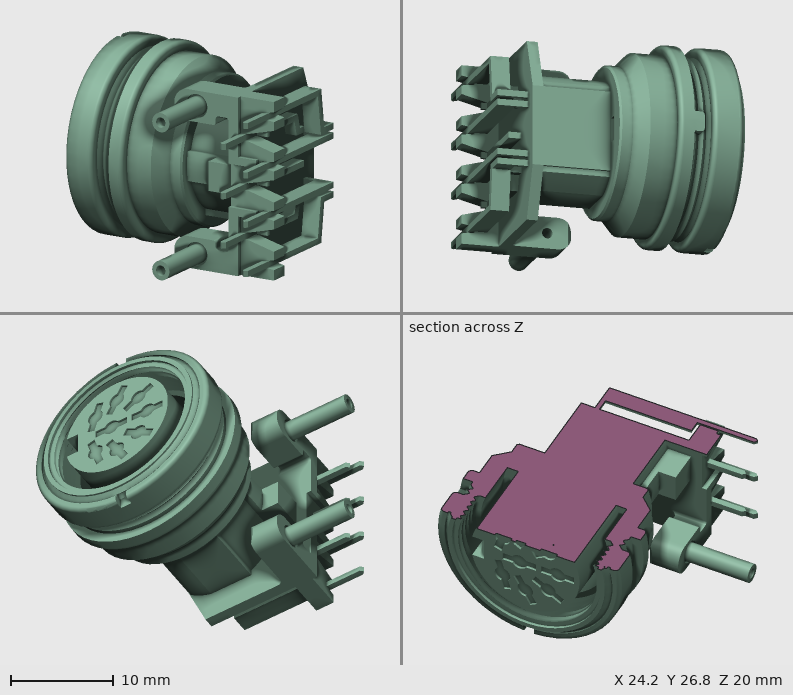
import cadquery as cq
import math


shell_front = 0.2
shell_rear = 12.55
thread_crest_r = 9.0
thread_root_r = 8.57
thread_pitch = 0.75
thread_start = 0.4
thread_turns = 6
flange_r = 10.0
flange_front = 5.7
flange_rear = 7.2
body_end = 9.9
cone_end = 11.25
collar_r = 15.2 / 2
collar_edge = 0.2
rim_fillet = 0.45

mouth_r = 16.2 / 2
mouth_depth = 0.3
bore_groove_r = 7.95
bore_crest_r = 15.1 / 2
bore_thread_turns = 5
bore_r = 13.9 / 2
cavity_floor = 9.0

tab_front = 4.7
tab_width = 2.0
tab_fillet = 0.3

nut_r = 10.0
nut_front = 0.7
nut_rear = 3.75
nut_mouth_r = 18.3 / 2
nut_mouth_depth = 0.2
nut_slot_width = 1.2
nut_slot_end = 1.7

insert_r = 11.8 / 2
keyway_width = 2.44
keyway_floor = 4.47
keyway_through_r = 5.45
contact_circle_r = 3.5
socket_length = 3.6
socket_width = 0.85
socket_hole_r = 0.85
socket_depth = 0.25
centre_socket_y = 0.65
upper_sockets = [(45, 30), (90, 60), (135, 73)]

barrel_r = 6.0
barrel_top = 3.9
pad_top = 4.22
pad_half_width = 4.0
side_rib_z = 5.8
side_rib_y_min = -3.1
side_rib_y_max = math.sqrt(barrel_r**2 - side_rib_z**2)
key_half_width = 1.5
key_r = 6.6
key_box_front = 16.05
key_box_bottom = -8.3

plate_front = 19.35
plate_rear = 20.45
half_width = 9.05
foot_bottom = -10.0
plate_shoulder_y = 2.2
plate_tip_z = 4.0
arm_front = 13.2
arm_top = -6.74
arm_inner = 5.85
arm_corner_r = 1.5
arm_nose_chamfer = 0.45
relief_front = 17.9
relief_outer_z = 6.8
relief_fillet = 0.3
arm_root_fillet = 0.5

post_x = 15.75
post_z = 7.5
post_r = 1.95 / 2
post_bore_r = 1.05 / 2
post_recess_r = 2.4 / 2
post_recess_depth = 0.3
post_tip = -16.75

comb_rear = 24.2
comb_top = -7.5
comb_bottom = -9.5
strap_inner = 2.2
strap_outer = 3.0
strap_rear = 22.5

pin_pitch = 2.5
rear_pin_z = [-3 * pin_pitch, -pin_pitch, pin_pitch, 3 * pin_pitch]
front_pin_z = [-2 * pin_pitch, 0, 2 * pin_pitch]
pin_width = 0.62
pin_thick = 0.6
pin_tip = -13.6
pin_point = 0.3
pin_slot_width = 0.75
pin_slot_mouth = 1.0
pin_slot_floor = 22.9
pin_slot_flare = 23.55
vee_start = 21.3
vee_mouth = 2.25

strip_split = 21.72
strip_rear = 23.59
strip_top = 2.73
strip_arm_bottom = 2.2
strip_inner_z = 3.47
rear_upper_bend = 0.97
rear_lower_bend = 0.4
front_upper_bend = -0.5
front_lower_bend = -0.9
front_strip_top = 0.29
front_foot_rear = 22.3
strip_foot = -7.15


def box(x0, x1, y0, y1, z0, z1):
    return cq.Workplane("XY").box(x1 - x0, y1 - y0, z1 - z0, centered=False).translate((x0, y0, z0))


def rod(radius, x0, x1):
    """Cylinder about the connector axis."""
    return cq.Workplane("YZ").workplane(offset=x0).circle(radius).extrude(x1 - x0)


def revolve_profile(points):
    """Solid of revolution about X from (x, radius) points."""
    return cq.Workplane("XY").polyline(points).close().revolve(360, (0, 0, 0), (1, 0, 0))


def make_shell():
    half_pitch = thread_pitch / 2
    points = [(shell_front, 0), (shell_front, thread_root_r), (thread_start, thread_root_r)]
    for turn in range(thread_turns):
        start = thread_start + turn * thread_pitch
        points.append((start + half_pitch, thread_crest_r))
        points.append((start + thread_pitch, thread_root_r))
    thread_end = thread_start + thread_turns * thread_pitch + half_pitch
    points += [
        (thread_end, thread_crest_r),
        (body_end, thread_crest_r),
        (cone_end, collar_r),
        (shell_rear - collar_edge, collar_r),
        (shell_rear, collar_r - collar_edge),
        (shell_rear, 0),
    ]
    flange = rod(flange_r, flange_front, flange_rear).faces(">X").edges().fillet(rim_fillet)
    tab = box(tab_front, flange_front, 0, flange_r, -tab_width / 2, tab_width / 2)
    tab = tab.edges("|Y and <X").fillet(tab_fillet)
    tab = tab.intersect(rod(flange_r, tab_front, flange_front))
    return revolve_profile(points).union(flange).union(tab).cut(make_cavity())


def make_cavity():
    half_pitch = thread_pitch / 2
    bore_thread_start = shell_front + mouth_depth
    points = [
        (shell_front, 0),
        (shell_front, mouth_r),
        (bore_thread_start, mouth_r),
        (bore_thread_start, bore_crest_r),
    ]
    for turn in range(bore_thread_turns):
        start = bore_thread_start + turn * thread_pitch
        points.append((start + half_pitch, bore_groove_r))
        points.append((start + thread_pitch, bore_crest_r))
    thread_end = bore_thread_start + bore_thread_turns * thread_pitch
    points += [(thread_end, bore_r), (cavity_floor, bore_r), (cavity_floor, 0)]
    return revolve_profile(points)


def make_nut():
    nut = rod(nut_r, nut_front, nut_rear).edges().fillet(rim_fillet)
    nut = nut.cut(rod(thread_root_r, nut_front, nut_rear))
    nut = nut.cut(rod(nut_mouth_r, nut_front, nut_front + nut_mouth_depth))
    half_slot = nut_slot_width / 2
    return nut.cut(box(nut_front, nut_slot_end, -half_slot, half_slot, -nut_r, nut_r))


def make_socket(y, z, angle):
    """Contact opening: a slot with a round hole at its middle."""
    slot = cq.Workplane("YZ").rect(socket_length, socket_width).extrude(socket_depth)
    opening = slot.union(rod(socket_hole_r, 0, socket_depth))
    return opening.rotate((0, 0, 0), (1, 0, 0), angle).translate((0, y, z))


def cut_sockets(body):
    body = body.cut(make_socket(centre_socket_y, 0, 0)).cut(make_socket(-contact_circle_r, 0, 0))
    for position, direction in upper_sockets:
        y = -contact_circle_r * math.cos(math.radians(position))
        z = contact_circle_r * math.sin(math.radians(position))
        body = body.cut(make_socket(y, z, -direction)).cut(make_socket(y, -z, direction))
    return body


def cut_keyway(body):
    """Keyway along the insert, with a narrower opening through the shell floor."""
    half_key = keyway_width / 2
    for end, radius in [(cavity_floor, insert_r), (shell_rear, keyway_through_r)]:
        keyway = box(0, end, keyway_floor, radius, -half_key, half_key)
        body = body.cut(keyway.intersect(rod(radius, 0, end)))
    return body


def make_barrel():
    barrel = rod(barrel_r, shell_rear, plate_front)
    flats = box(shell_rear, plate_front, -barrel_r, barrel_top, -side_rib_z, side_rib_z)
    barrel = barrel.intersect(flats)
    pad = box(shell_rear, plate_front, 0, pad_top, -pad_half_width, pad_half_width)
    ribs = box(shell_rear, plate_front, side_rib_y_min, side_rib_y_max, -side_rib_z, side_rib_z)
    key = box(shell_rear, plate_front, -key_r, 0, -key_half_width, key_half_width)
    key = key.intersect(rod(key_r, shell_rear, plate_front))
    key_box = box(key_box_front, plate_front, key_box_bottom, 0, -key_half_width, key_half_width)
    return barrel.union(pad).union(ribs).union(key).union(key_box)


def make_plate():
    outline = [
        (foot_bottom, -half_width),
        (plate_shoulder_y, -half_width),
        (pad_top, -plate_tip_z),
        (pad_top, plate_tip_z),
        (plate_shoulder_y, half_width),
        (foot_bottom, half_width),
    ]
    plate = cq.Workplane("YZ").workplane(offset=plate_front).polyline(outline).close()
    plate = plate.extrude(plate_rear - plate_front)
    return plate.cut(box(plate_front, plate_rear, foot_bottom, comb_bottom, -strap_inner, strap_inner))


def make_arm_nose():
    """Wedge that bevels the rounded front end of an arm."""
    outline = [
        (arm_front, arm_top),
        (arm_front + arm_nose_chamfer, arm_top),
        (arm_front, arm_top - arm_nose_chamfer),
    ]
    return cq.Workplane("XY").polyline(outline).close().extrude(half_width)


def make_arm_root():
    """Concave fillet between an arm and the plate."""
    x0 = plate_front - arm_root_fillet
    y1 = arm_top + arm_root_fillet
    root = box(x0, plate_front, arm_top, y1, arm_inner, half_width)
    round_cut = cq.Workplane("XY", origin=(x0, y1, arm_inner)).circle(arm_root_fillet)
    return root.cut(round_cut.extrude(half_width - arm_inner))


def make_arm():
    """Mounting arm on the +Z side, relieved on its inner edge next to the plate."""
    arm = box(arm_front, plate_front, foot_bottom, arm_top, arm_inner, half_width)
    arm = arm.edges("|Y and <X").fillet(arm_corner_r)
    arm = arm.cut(make_arm_nose()).union(make_arm_root())
    relief_top = arm_top + arm_root_fillet
    relief = box(relief_front, plate_front, foot_bottom, relief_top, arm_inner, relief_outer_z)
    arm = arm.cut(relief.edges("|Y and >Z").fillet(relief_fillet))
    arm_middle_y = (foot_bottom + arm_top) / 2
    corner = cq.selectors.NearestToPointSelector((relief_front, arm_middle_y, arm_inner))
    return arm.edges("|Y").edges(corner).fillet(relief_fillet)


def post_rod(radius, y0, y1):
    """Cylinder about the axis of the +Z mounting post."""
    return cq.Workplane("XZ", origin=(post_x, y1, post_z)).circle(radius).extrude(y1 - y0)


def make_arm_with_post():
    arm = make_arm().cut(post_rod(post_recess_r, foot_bottom, foot_bottom + post_recess_depth))
    arm = arm.union(post_rod(post_r, post_tip, arm_top))
    return arm.cut(post_rod(post_bore_r, post_tip, arm_top))


def make_comb_notch(z, floor, flare_start, mouth_width):
    """Slot open to the rear of the comb that widens from flare_start to its mouth."""
    half_slot = pin_slot_width / 2
    half_mouth = mouth_width / 2
    outline = [
        (floor, z - half_slot),
        (flare_start, z - half_slot),
        (comb_rear, z - half_mouth),
        (comb_rear, z + half_mouth),
        (flare_start, z + half_slot),
        (floor, z + half_slot),
    ]
    notch = cq.Workplane("XZ", origin=(0, comb_top, 0)).polyline(outline).close()
    return notch.extrude(comb_top - comb_bottom)


def make_comb():
    comb = box(plate_rear, comb_rear, comb_bottom, comb_top, -half_width, half_width)
    for z in rear_pin_z:
        comb = comb.cut(make_comb_notch(z, pin_slot_floor, pin_slot_flare, pin_slot_mouth))
    for z in front_pin_z:
        comb = comb.cut(make_comb_notch(z, plate_rear, vee_start, vee_mouth))
    for z0, z1 in [(strap_inner, strap_outer), (-strap_outer, -strap_inner)]:
        comb = comb.union(box(plate_rear, strap_rear, foot_bottom, comb_bottom, z0, z1))
    return comb


def make_pin(x0, top, z):
    """Flat pin pointing toward -Y with a tapered tip."""
    x1 = x0 + pin_thick
    shoulder = pin_tip + pin_point
    outline = [(x0, top), (x0, shoulder), ((x0 + x1) / 2, pin_tip), (x1, shoulder), (x1, top)]
    start = cq.Workplane("XY", origin=(0, 0, z - pin_width / 2))
    return start.polyline(outline).close().extrude(pin_width)


def make_strip(front, rear, outline):
    """Contact strip between two X positions, from a (y, z) outline of its bent side."""
    return cq.Workplane("YZ").workplane(offset=front).polyline(outline).close().extrude(rear - front)


def bent_outline(foot, top, upper_bend, lower_bend, inner_z, outer_z):
    """Strip edge that rises from the comb and steps toward the connector axis."""
    half = math.copysign(pin_width / 2, outer_z)
    return [
        (foot, outer_z - half),
        (lower_bend - pin_width, outer_z - half),
        (upper_bend - pin_width, inner_z - half),
        (top, inner_z - half),
        (top, inner_z + half),
        (upper_bend, inner_z + half),
        (lower_bend, outer_z + half),
        (foot, outer_z + half),
    ]


def make_front_contact(z):
    half = pin_width / 2
    pin = make_pin(plate_rear, comb_top, z)
    if z == 0:
        strip = box(plate_rear, strip_split, comb_top, front_strip_top, -half, half)
    else:
        inner_z = math.copysign(strip_inner_z, z)
        outline = bent_outline(comb_top, front_strip_top, front_upper_bend, front_lower_bend, inner_z, z)
        strip = make_strip(plate_rear, strip_split, outline)
    foot = box(plate_rear, front_foot_rear, comb_top, strip_foot, z - half, z + half)
    return pin.union(strip).union(foot)


def make_rear_contact(z):
    half = pin_width / 2
    pin = make_pin(strip_rear - pin_thick, strip_foot, z)
    if abs(z) == pin_pitch:
        inner_z = z
        strip = box(strip_split, strip_rear, strip_foot, strip_top, z - half, z + half)
    else:
        inner_z = math.copysign(strip_inner_z, z)
        outline = bent_outline(strip_foot, strip_top, rear_upper_bend, rear_lower_bend, inner_z, z)
        strip = make_strip(strip_split, strip_rear, outline)
    arm = box(plate_rear, strip_split, strip_arm_bottom, strip_top, inner_z - half, inner_z + half)
    return pin.union(strip).union(arm)


def make_connector():
    body = make_shell().union(rod(insert_r, 0, cavity_floor)).union(make_nut())
    body = cut_keyway(cut_sockets(body))
    arm = make_arm_with_post()
    for part in [make_barrel(), make_plate(), make_comb(), arm, arm.mirror("XY")]:
        body = body.union(part)
    for z in front_pin_z:
        body = body.union(make_front_contact(z))
    for z in rear_pin_z:
        body = body.union(make_rear_contact(z))
    return body


result = make_connector()